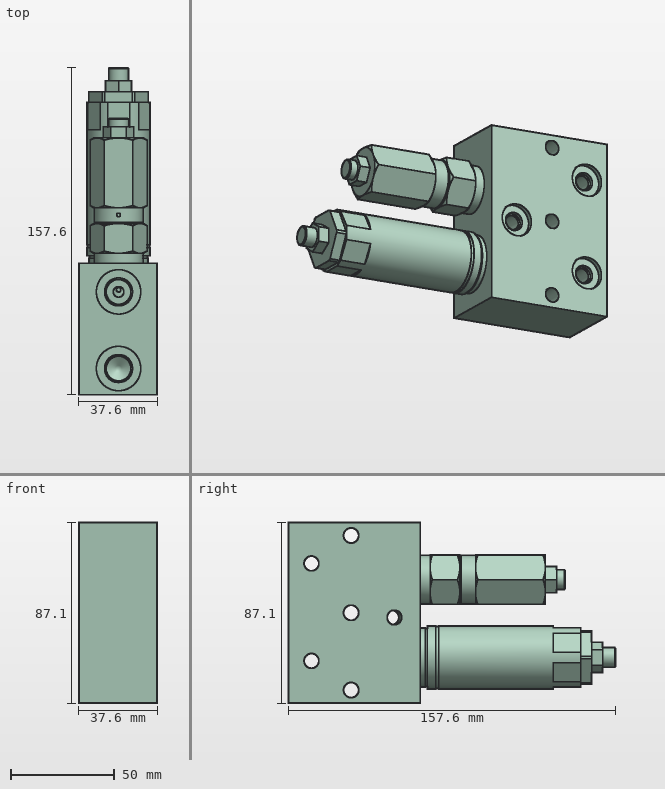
import cadquery as cq
import math

BLOCK_X = 37.59
BLOCK_Y = 63.5
BLOCK_Z = 87.12
TOTAL_Y = 157.56

AXIS_X = 19.05

MOUNT_DIAMETER = 7.2
MOUNT_Y = 30.2
MOUNT_EDGE = 6.35

FRONT_CROSS_PORTS = ((11.1, 67.3), (11.1, 20.4))
REAR_CROSS_PORT = (49.6, 41.3)
REAR_CROSS_DRIFT = 1.5
CROSS_SPOT_DIAMETER = 16.0
CROSS_SPOT_DEPTH = 2.8
CROSS_MOUTH_DIAMETER = 9.0
CROSS_SEAT_DIAMETER = 8.4
CROSS_SEAT_DEPTH = 4.4
CROSS_PASSAGE_DIAMETER = 7.0
CROSS_PASSAGE_DEPTH = 5.0

REAR_PORT_Y = 49.6
FRONT_PORT_Y = 12.7
TOP_SPOT_DIAMETER = 21.4
TOP_SPOT_DEPTH = 0.2
TOP_BORE_DIAMETER = 11.9
TOP_BORE_DEPTH = 12.0
TOP_CHAMFER = 0.8
DRILL_POINT_ANGLE = 118.0
PILOT_DIAMETER = 5.1
NOSE_DIAMETER = 15.0
NOSE_HOLE_DIAMETER = 2.2
NOSE_HOLE_DEPTH = 2.0
NOSE_HOLE_OFFSET = 1.0

UPPER_Z = 59.5
UPPER_ROUND_DIAMETER = 23.6
UPPER_HEX_FLATS = 23.8
UPPER_COLLAR_END = 4.7
UPPER_HEX_END = 19.0
UPPER_GROOVE_END = 19.7
UPPER_GROOVE_DIAMETER = 17.6
UPPER_RING_END = 26.6
UPPER_CAP_END = 60.2
UPPER_NUT_END = 65.6
UPPER_STEM_END = 69.7
VENT_DIAMETER = 1.8
VENT_DEPTH = 2.0

LOWER_Z = 22.05
LOWER_COLLAR_DIAMETER = 28.6
LOWER_BODY_DIAMETER = 30.5
LOWER_COLLAR_END = 2.3
LOWER_NECK_DIAMETER = 28.0
LOWER_NECK_END = 3.4
LOWER_RING_END = 7.4
LOWER_GROOVE_END = 8.9
LOWER_GROOVE_DIAMETER = 30.0
LOWER_FLATS_START = 64.1
LOWER_BODY_END = 77.3
LOWER_CAP_END = 82.5
LOWER_NUT_END = 87.8
LOWER_STEM_END = TOTAL_Y - BLOCK_Y
LOWER_CAP_FLATS = 25.6
LOWER_CAP_DIAMETER = 28.8
WRENCH_FLAT_DISTANCE = 14.3
WRENCH_FLAT_ANGLES = (0, 60, 120, 180, 236, 304)

LOCKNUT_FLATS = 12.7
STEM_DIAMETER = 9.6
STEM_CHAMFER = 0.5


def section_plane(axis_z, station):
    """Plane across a valve axis, facing +Y; local x is -X, local y is +Z."""
    origin = (AXIS_X, BLOCK_Y + station, axis_z)
    return cq.Workplane(cq.Plane(origin=origin, xDir=(-1, 0, 0), normal=(0, 1, 0)))


def round_section(axis_z, diameter, start, end):
    return section_plane(axis_z, start).circle(diameter / 2).extrude(end - start)


def hex_section(axis_z, flats, start, end, corner_up=False):
    """Hexagonal length of a valve, with a corner on +-X or else on +-Z."""
    corners = flats / math.cos(math.radians(30))
    turn = 90 if corner_up else 0
    plane = section_plane(axis_z, start).transformed(rotate=(0, 0, turn))
    return plane.polygon(6, corners).extrude(end - start)


def chamfered_hex(axis_z, flats, start, end):
    """Hexagon whose corners are turned down by a cone at both ends."""
    corner_radius = flats / 2 / math.cos(math.radians(30))
    drop = corner_radius - flats / 2
    rise = drop * math.tan(math.radians(30))
    envelope = round_section(axis_z, 2 * corner_radius, start, end)
    envelope = envelope.faces("<Y").chamfer(rise, drop)
    envelope = envelope.faces(">Y").chamfer(rise, drop)
    return hex_section(axis_z, flats, start, end).intersect(envelope)


def stem(axis_z, start, end):
    rod = round_section(axis_z, STEM_DIAMETER, start, end)
    return rod.faces(">Y").chamfer(STEM_CHAMFER)


def cross_drill(y, z, diameter):
    """Plain hole through the block along X."""
    return cq.Workplane("YZ").center(y, z).circle(diameter / 2).extrude(BLOCK_X)


def turned_cutter(profile):
    """Turned cutter about local Z; profile is (radius, depth), depth measured towards -Z."""
    points = [(radius, -depth) for radius, depth in profile]
    return cq.Workplane("XZ").polyline(points).close().revolve(360, (0, 0), (0, 1))


def vertical_hole(y, diameter, bottom, top):
    plane = cq.Workplane("XY").workplane(offset=bottom).center(AXIS_X, y)
    return plane.circle(diameter / 2).extrude(top - bottom)


def top_port_profile():
    bore_radius = TOP_BORE_DIAMETER / 2
    return [
        (0, 0),
        (TOP_SPOT_DIAMETER / 2, 0),
        (TOP_SPOT_DIAMETER / 2, TOP_SPOT_DEPTH),
        (bore_radius + TOP_CHAMFER, TOP_SPOT_DEPTH),
        (bore_radius, TOP_SPOT_DEPTH + TOP_CHAMFER),
        (bore_radius, TOP_BORE_DEPTH),
    ]


def front_port():
    """Port with a flat-bottomed spot face and a drill-pointed bore."""
    point_length = TOP_BORE_DIAMETER / 2 / math.tan(math.radians(DRILL_POINT_ANGLE / 2))
    profile = top_port_profile() + [(0, TOP_BORE_DEPTH + point_length)]
    return turned_cutter(profile).translate((AXIS_X, FRONT_PORT_Y, BLOCK_Z))


def rear_port():
    """Flat-bottomed port whose pilot hole ends on the upper valve's nose."""
    profile = top_port_profile() + [(0, TOP_BORE_DEPTH)]
    bore = turned_cutter(profile).translate((AXIS_X, REAR_PORT_Y, BLOCK_Z))
    pilot = vertical_hole(REAR_PORT_Y, PILOT_DIAMETER, UPPER_Z, BLOCK_Z - TOP_BORE_DEPTH)
    pilot = pilot.cut(round_section(UPPER_Z, NOSE_DIAMETER, -BLOCK_Y, 0))
    nose_top = UPPER_Z + NOSE_DIAMETER / 2
    nose_hole_y = REAR_PORT_Y + NOSE_HOLE_OFFSET
    nose_hole = vertical_hole(nose_hole_y, NOSE_HOLE_DIAMETER, nose_top - NOSE_HOLE_DEPTH, nose_top)
    return bore.union(pilot).union(nose_hole)


def cross_port_entry(y, z):
    """Spot face, slightly tapered seat and cone leading into the passage."""
    profile = [
        (0, 0),
        (CROSS_SPOT_DIAMETER / 2, 0),
        (CROSS_SPOT_DIAMETER / 2, CROSS_SPOT_DEPTH),
        (CROSS_MOUTH_DIAMETER / 2, CROSS_SPOT_DEPTH),
        (CROSS_SEAT_DIAMETER / 2, CROSS_SEAT_DEPTH),
        (CROSS_PASSAGE_DIAMETER / 2, CROSS_PASSAGE_DEPTH),
        (0, CROSS_PASSAGE_DEPTH),
    ]
    entry = turned_cutter(profile).rotate((0, 0, 0), (0, 1, 0), -90)
    return entry.translate((0, y, z))


def slanted_passage():
    """Passage of the rear cross port, slanting towards +Y on its way through."""
    y, z = REAR_CROSS_PORT
    length = BLOCK_X - CROSS_PASSAGE_DEPTH
    radius = CROSS_PASSAGE_DIAMETER / 2
    entry = cq.Workplane("YZ").workplane(offset=CROSS_PASSAGE_DEPTH).center(y, z).circle(radius)
    return entry.workplane(offset=length).center(REAR_CROSS_DRIFT, 0).circle(radius).loft(ruled=True)


def block():
    body = cq.Workplane("XY").box(BLOCK_X, BLOCK_Y, BLOCK_Z, centered=False)
    for z in (MOUNT_EDGE, BLOCK_Z / 2, BLOCK_Z - MOUNT_EDGE):
        body = body.cut(cross_drill(MOUNT_Y, z, MOUNT_DIAMETER))
    for y, z in FRONT_CROSS_PORTS:
        body = body.cut(cross_port_entry(y, z)).cut(cross_drill(y, z, CROSS_PASSAGE_DIAMETER))
    body = body.cut(cross_port_entry(*REAR_CROSS_PORT)).cut(slanted_passage())
    return body.cut(front_port()).cut(rear_port())


def vent_hole():
    """Small radial hole in the top of the upper valve's ring."""
    y = BLOCK_Y + (UPPER_GROOVE_END + UPPER_RING_END) / 2
    top = UPPER_Z + UPPER_ROUND_DIAMETER / 2
    return vertical_hole(y, VENT_DIAMETER, top - VENT_DEPTH, top)


def upper_valve():
    valve = round_section(UPPER_Z, UPPER_ROUND_DIAMETER, 0, UPPER_COLLAR_END)
    valve = valve.union(chamfered_hex(UPPER_Z, UPPER_HEX_FLATS, UPPER_COLLAR_END, UPPER_HEX_END))
    valve = valve.union(round_section(UPPER_Z, UPPER_GROOVE_DIAMETER, UPPER_HEX_END, UPPER_GROOVE_END))
    valve = valve.union(round_section(UPPER_Z, UPPER_ROUND_DIAMETER, UPPER_GROOVE_END, UPPER_RING_END))
    valve = valve.union(chamfered_hex(UPPER_Z, UPPER_HEX_FLATS, UPPER_RING_END, UPPER_CAP_END))
    valve = valve.union(hex_section(UPPER_Z, LOCKNUT_FLATS, UPPER_CAP_END, UPPER_NUT_END))
    valve = valve.union(stem(UPPER_Z, UPPER_NUT_END, UPPER_STEM_END))
    return valve.cut(vent_hole())


def lower_body():
    """Cylinder with wrench flats at its outer end."""
    body = round_section(LOWER_Z, LOWER_BODY_DIAMETER, LOWER_GROOVE_END, LOWER_BODY_END)
    length = LOWER_BODY_END - LOWER_FLATS_START
    thickness = LOWER_BODY_DIAMETER / 2
    start_plane = section_plane(LOWER_Z, LOWER_FLATS_START)
    for angle in WRENCH_FLAT_ANGLES:
        plane = start_plane.transformed(rotate=(0, 0, angle + 180))
        plane = plane.center(0, -WRENCH_FLAT_DISTANCE - thickness / 2)
        body = body.cut(plane.rect(LOWER_BODY_DIAMETER, thickness).extrude(length))
    return body


def lower_valve():
    valve = round_section(LOWER_Z, LOWER_COLLAR_DIAMETER, 0, LOWER_COLLAR_END)
    valve = valve.union(round_section(LOWER_Z, LOWER_NECK_DIAMETER, LOWER_COLLAR_END, LOWER_NECK_END))
    valve = valve.union(round_section(LOWER_Z, LOWER_BODY_DIAMETER, LOWER_NECK_END, LOWER_RING_END))
    valve = valve.union(round_section(LOWER_Z, LOWER_GROOVE_DIAMETER, LOWER_RING_END, LOWER_GROOVE_END))
    valve = valve.union(lower_body())
    cap = hex_section(LOWER_Z, LOWER_CAP_FLATS, LOWER_BODY_END, LOWER_CAP_END)
    cap = cap.intersect(round_section(LOWER_Z, LOWER_CAP_DIAMETER, LOWER_BODY_END, LOWER_CAP_END))
    valve = valve.union(cap)
    valve = valve.union(hex_section(LOWER_Z, LOCKNUT_FLATS, LOWER_CAP_END, LOWER_NUT_END, corner_up=True))
    return valve.union(stem(LOWER_Z, LOWER_NUT_END, LOWER_STEM_END))


result = block().union(upper_valve()).union(lower_valve())